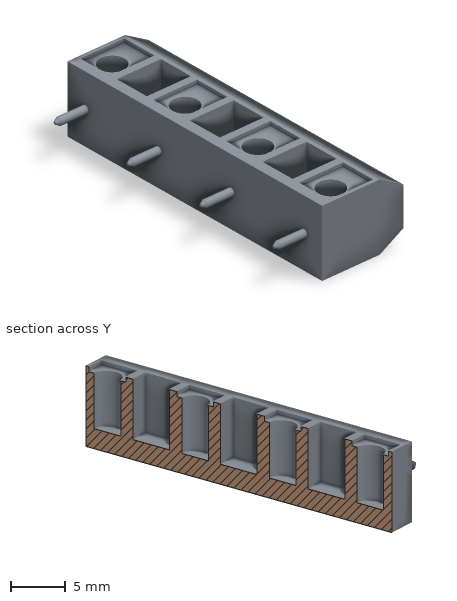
import cadquery as cq

length = 35.0
depth = 10.0
height = 8.0
bevel_run = 2.9
bevel_drop = 1.68

pole_count = 4
pocket_count = 2 * pole_count - 1
pocket_pitch = 5.0
pocket_width = 4.13
pocket_length = 5.42
pocket_front_wall = 1.22
seat_depth = 0.5
well_depth = 6.0

screw_diameter = 3.0
screw_y = 3.3
screw_depth = well_depth

pin_diameter = 0.9
pin_length = 3.78
pin_tip_length = 0.52
pin_tip_diameter = 0.3


def pocket_x(index):
    """X of a pocket centre, with the row centred on the block."""
    return (index - (pocket_count - 1) / 2) * pocket_pitch


def make_housing():
    """Block with sloped upper and lower edges at the back."""
    half_height = height / 2
    bevel_start = depth - bevel_run
    back_half_height = half_height - bevel_drop
    return (
        cq.Workplane("YZ")
        .moveTo(0, -half_height)
        .lineTo(bevel_start, -half_height)
        .lineTo(depth, -back_half_height)
        .lineTo(depth, back_half_height)
        .lineTo(bevel_start, half_height)
        .lineTo(0, half_height)
        .close()
        .extrude(length / 2, both=True)
    )


def make_pocket(x, pocket_depth):
    """Rectangular cutter sunk from the top face."""
    return (
        cq.Workplane("XY", origin=(x, pocket_front_wall + pocket_length / 2, height / 2))
        .rect(pocket_width, pocket_length)
        .extrude(-pocket_depth)
    )


def make_screw_hole(x):
    """Round cutter sunk from the top face, through the seat floor."""
    return (
        cq.Workplane("XY", origin=(x, screw_y, height / 2))
        .circle(screw_diameter / 2)
        .extrude(-screw_depth)
    )


def make_pin(x):
    """Round pin with a conical tip, pointing toward -Y from the front face."""
    pin_radius = pin_diameter / 2
    return (
        cq.Workplane("XY", origin=(x, 0, 0))
        .lineTo(pin_radius, 0)
        .lineTo(pin_radius, pin_tip_length - pin_length)
        .lineTo(pin_tip_diameter / 2, -pin_length)
        .lineTo(0, -pin_length)
        .close()
        .revolve(360, (0, 0, 0), (0, 1, 0))
    )


result = make_housing()
for index in range(pocket_count):
    x = pocket_x(index)
    is_screw_seat = index % 2 == 0
    if is_screw_seat:
        result = result.cut(make_pocket(x, seat_depth))
        result = result.cut(make_screw_hole(x))
        result = result.union(make_pin(x))
    else:
        result = result.cut(make_pocket(x, well_depth))